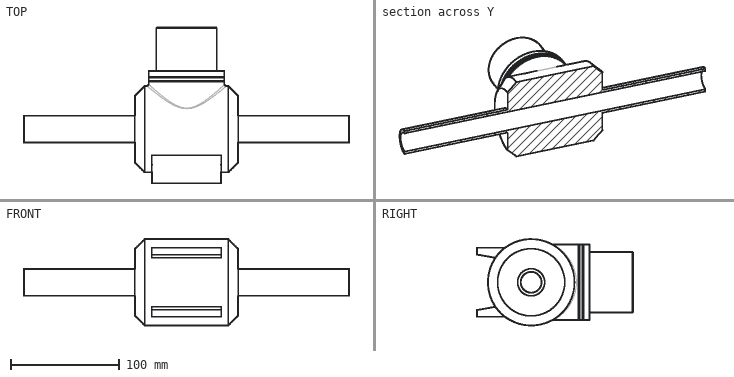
import cadquery as cq
import math

pipe_length = 300.0
pipe_diameter = 25.0
bore_diameter = 19.0

body_diameter = 80.0
body_length = 95.0
body_chamfer = 9.0

collar_diameter = 70.0
collar_end = 54.0
spigot_diameter = 56.0
spigot_end = 94.0
collar_chamfer = 0.5
spigot_chamfer = 0.75
saddle_fillet = 1.5
saddle_clearance = 1.0

groove_width = 1.25
groove_depth = 0.5
groove_starts = (43.6, 47.3)

plate_length = 64.0
plate_reach = 50.0
plate_outer_height = 32.0
plate_tip_thickness = 6.5
plate_taper_angle = 10.0
plate_root = 20.0


def x_cylinder(diameter, length):
    """Cylinder on the X axis, centred on the origin."""
    return cq.Workplane("YZ").circle(diameter / 2).extrude(length / 2, both=True)


def y_cylinder(diameter, start, end):
    """Cylinder on the Y axis between two Y positions."""
    plane = cq.Workplane("XZ", origin=(0, start, 0))
    return plane.circle(diameter / 2).extrude(start - end)


def add_collar(body):
    """Join the collar to the body and round the saddle-shaped joint."""
    collar = y_cylinder(collar_diameter, 0, collar_end).faces(">Y").chamfer(collar_chamfer)
    reach = body_diameter / 2 + saddle_clearance
    joint_box = cq.selectors.BoxSelector((-reach, 0, -reach), (reach, reach, reach), boundingbox=True)
    return body.union(collar).edges(joint_box).fillet(saddle_fillet)


def cut_groove(body, start):
    """Cut one ring-shaped groove into the collar."""
    end = start + groove_width
    ring = y_cylinder(collar_diameter, start, end)
    core = y_cylinder(collar_diameter - 2 * groove_depth, start, end)
    return body.cut(ring.cut(core))


def add_spigot(body):
    """Join the narrower spigot beyond the collar."""
    spigot = y_cylinder(spigot_diameter, 0, spigot_end).faces(">Y").chamfer(spigot_chamfer)
    return body.union(spigot)


def make_plate():
    """Upper mounting plate, flat on top and tapering towards its tip."""
    taper_rise = (plate_reach - plate_root) * math.tan(math.radians(plate_taper_angle))
    tip_bottom = plate_outer_height - plate_tip_thickness
    outline = [
        (-plate_root, plate_outer_height),
        (-plate_reach, plate_outer_height),
        (-plate_reach, tip_bottom),
        (-plate_root, tip_bottom - taper_rise),
    ]
    return cq.Workplane("YZ").polyline(outline).close().extrude(plate_length / 2, both=True)


housing = x_cylinder(body_diameter, body_length).edges().chamfer(body_chamfer)
housing = add_collar(housing)
for groove_start in groove_starts:
    housing = cut_groove(housing, groove_start)
housing = add_spigot(housing)

upper_plate = make_plate()
lower_plate = upper_plate.mirror("XY")
housing = housing.union(upper_plate).union(lower_plate)

result = housing.union(x_cylinder(pipe_diameter, pipe_length)).cut(x_cylinder(bore_diameter, pipe_length))